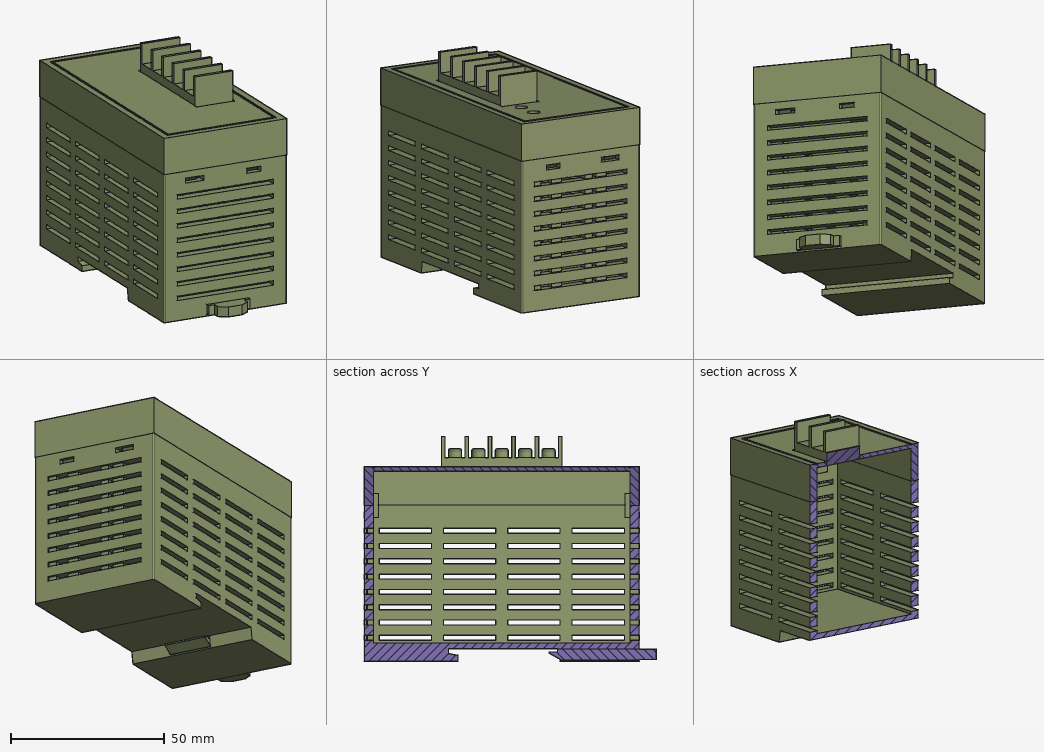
import cadquery as cq

overall_length = 95.5
length = 89.9
width = 45.0
parting_z = 51.1
lid_top = 63.6
block_top = 73.5
wall = 3.15
half_length = length / 2
inner_length = length - 2 * wall
inner_width = width - 2 * wall

floor_top = 6.0
corner_radius = 0.5
slot_height = 1.5
slot_rows = 8
lowest_slot_z = 7.0
slot_rise = 34.9
row_pitch = slot_rise / (slot_rows - 1)
side_slot_length = 17.0
side_slot_pitch = 21.0
side_slot_columns = 4
end_slot_length = 35.1
posts = [(16.1, 2.9, 0.8), (8.6, 3.9, 1.1), (-3.4, 2.9, 0.8), (-8.4, 3.9, 1.1)]

window_bottom = 47.0
window_height = 1.6
snaps = [(10.4, 5.2, 10.4), (-11.3, 6.7, -11.9)]
hook_width = 4.4
hook_recess = 0.9
hook_foot_recess = 2.2
hook_gap = 0.2
tab_thickness = 1.5
tab_overlap = 3.8

notch_top = 4.1
notch_left = -17.4
lip_x = -14.2
lip_z = 2.0
undercut_z = 2.6
notch_right_top = 18.3
notch_right_bottom = 19.1

plate = 1.5
groove_inset_x = 2.8
groove_inset_y = 2.6
groove_width = 0.6
groove_depth = 0.3
lamp_diameter = 4.0
lamp_centres = [(-32.9, 10.7), (-25.0, 10.7)]

pole_count = 5
pole_pitch = 7.6
divider = 1.2
block_length = pole_count * pole_pitch + divider
block_depth = 13.8
block_y = 8.6
block_floor = 66.5
opening_length = 42.0
screw_diameter = 4.4
screw_height = 3.0
screw_round = 0.9

clip_y = 0.8
clip_bottom = 0.6
clip_top = 4.0
clip_width = 15.2
clip_tip_x = 15.5
clip_tip_top = 3.15
clip_tip_bottom = 2.7
clip_shoulder_x = 18.1
clip_slope_end_x = 19.2
clip_collar_x = 46.3
clip_grip_width = 11.0
clip_taper_x = 48.6
clip_end_x = overall_length - half_length
clip_end_width = 5.1


def box(x_size, y_size, z_bottom, z_top, x=0.0, y=0.0):
    """Upright box centred on (x, y) between two heights."""
    return cq.Workplane("XY", origin=(x, y, z_bottom)).rect(x_size, y_size).extrude(z_top - z_bottom)


def across_y(points, y_size, y=0.0):
    """Extrude an XZ outline symmetrically about the given Y."""
    return cq.Workplane("XZ", origin=(0, y, 0)).polyline(points).close().extrude(y_size / 2, both=True)


def both_ends(body):
    """The body together with its mirror image across the YZ plane."""
    return body.union(body.mirror("YZ"))


def make_vents():
    """Side slots through both long walls and end slots through both short walls."""
    vents = cq.Workplane("XY")
    end_x = half_length - wall / 2
    for row in range(slot_rows):
        bottom = lowest_slot_z + row * row_pitch
        top = bottom + slot_height
        for column in range(side_slot_columns):
            x = (column - (side_slot_columns - 1) / 2) * side_slot_pitch
            vents = vents.add(box(side_slot_length, width, bottom, top, x))
        for x in (-end_x, end_x):
            vents = vents.add(box(wall, end_slot_length, bottom, top, x))
    return vents.combine()


def make_post(y, post_width, recess):
    """Upright post within the -X wall, set back from its outer face and crossing every slot row."""
    thickness = wall - recess
    x = -half_length + recess + thickness / 2
    highest_slot_top = lowest_slot_z + slot_rise + slot_height
    return box(thickness, post_width, lowest_slot_z, highest_slot_top, x, y)


def make_rail_notch():
    """Notch through the underside, hooked on the -X side and sloped on the +X side."""
    outline = [
        (lip_x, 0),
        (lip_x, lip_z),
        (notch_left, undercut_z),
        (notch_left, notch_top),
        (notch_right_top, notch_top),
        (notch_right_bottom, 0),
    ]
    return across_y(outline, width)


def make_clip_channel():
    """Tunnel from the rail notch out through the +X wall, sized to the clip."""
    channel_length = half_length - clip_shoulder_x
    x = clip_shoulder_x + channel_length / 2
    return box(channel_length, clip_width, clip_bottom, clip_top, x, clip_y)


def make_case():
    case = box(length, width, 0, parting_z).edges("|Z").fillet(corner_radius)
    case = case.cut(box(inner_length, inner_width, floor_top, parting_z))
    case = case.cut(make_vents())
    for y, post_width, recess in posts:
        case = case.union(make_post(y, post_width, recess))
    for y, window_width, _ in snaps:
        case = case.cut(box(length, window_width, window_bottom, window_bottom + window_height, 0, y))
    case = case.cut(make_rail_notch())
    return case.cut(make_clip_channel())


def make_snap_tab(y):
    """Tab hanging inside the -X wall, with a hook that slopes away below its tip."""
    inner_x = -half_length + wall
    tip_x = -half_length + hook_recess
    foot_x = -half_length + hook_foot_recess
    hook_top = window_bottom + window_height - hook_gap
    outline = [
        (inner_x, parting_z + tab_overlap),
        (inner_x, hook_top),
        (tip_x, hook_top),
        (foot_x, window_bottom),
        (inner_x + tab_thickness, window_bottom),
        (inner_x + tab_thickness, parting_z + tab_overlap),
    ]
    return across_y(outline, hook_width, y)


def make_panel_groove():
    """Rectangular groove around the top panel."""
    outer_x = length - 2 * groove_inset_x
    outer_y = width - 2 * groove_inset_y
    bottom = lid_top - groove_depth
    ring = box(outer_x, outer_y, bottom, lid_top)
    return ring.cut(box(outer_x - 2 * groove_width, outer_y - 2 * groove_width, bottom, lid_top))


def make_lid():
    plate_bottom = lid_top - plate
    lid = box(length, width, parting_z, lid_top)
    lid = lid.cut(box(inner_length, inner_width, parting_z, plate_bottom))
    lid = lid.cut(make_panel_groove())
    lid = lid.cut(box(opening_length, block_depth, plate_bottom, lid_top, 0, block_y))
    lamps = cq.Workplane("XY", origin=(0, 0, plate_bottom)).pushPoints(lamp_centres)
    lid = lid.cut(lamps.circle(lamp_diameter / 2).extrude(plate))
    for _, _, hook_y in snaps:
        lid = lid.union(both_ends(make_snap_tab(hook_y)))
    return lid


def make_terminal_block():
    """Block with a screw in each pole and a divider on both sides of every pole."""
    block = box(block_length, block_depth, lid_top - plate, block_floor, 0, block_y)
    for index in range(pole_count + 1):
        x = (index - pole_count / 2) * pole_pitch
        block = block.union(box(divider, block_depth, block_floor, block_top, x, block_y))
    for index in range(pole_count):
        x = (index - (pole_count - 1) / 2) * pole_pitch
        screw = cq.Workplane("XY", origin=(x, block_y, block_floor)).circle(screw_diameter / 2)
        block = block.union(screw.extrude(screw_height).faces(">Z").edges().fillet(screw_round))
    return block


def make_clip():
    """Sliding clip: a wedge in the rail notch, a flat shank and a tapered finger grip."""
    half_shank = clip_width / 2
    half_grip = clip_grip_width / 2
    half_end = clip_end_width / 2
    plan = [
        (clip_tip_x, half_shank),
        (clip_collar_x, half_shank),
        (clip_collar_x, half_grip),
        (clip_taper_x, half_grip),
        (clip_end_x, half_end),
        (clip_end_x, -half_end),
        (clip_taper_x, -half_grip),
        (clip_collar_x, -half_grip),
        (clip_collar_x, -half_shank),
        (clip_tip_x, -half_shank),
    ]
    profile = [
        (clip_tip_x, clip_tip_bottom),
        (clip_tip_x, clip_tip_top),
        (clip_shoulder_x, clip_tip_top),
        (clip_shoulder_x, clip_top),
        (clip_end_x, clip_top),
        (clip_end_x, clip_bottom),
        (clip_slope_end_x, clip_bottom),
    ]
    blank = cq.Workplane("XY", origin=(0, clip_y, 0)).polyline(plan).close().extrude(clip_top)
    return blank.intersect(across_y(profile, clip_width, clip_y))


case = make_case()
lid = make_lid()
terminal_block = make_terminal_block()
clip = make_clip()

result = cq.Compound.makeCompound([case.val(), lid.val(), terminal_block.val(), clip.val()])